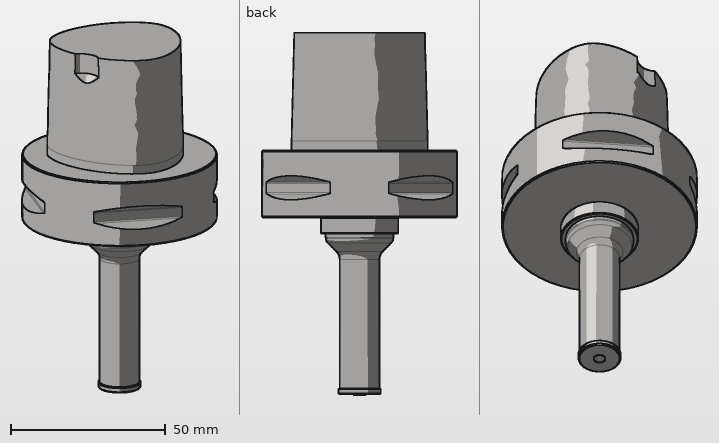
import cadquery as cq
import math

TAPER_WIDTH = 44.0
LOBE_HEIGHT = 1.4
TAPER_LENGTH = 38.0
STRAIGHT_LENGTH = 3.0
TAPER_RATIO = 1 / 20
OUTLINE_POINTS = 48

NOTCH_RADIUS = 6.0
NOTCH_CENTER_Y = -23.5
NOTCH_DEPTH = 6.5

FLANGE_RADIUS = 63.0 / 2
FLANGE_HEIGHT = 21.7
FLANGE_CHAMFER = 0.4

SLOT_COUNT = 4
SLOT_FIRST_ANGLE = 45.0
SLOT_FLOOR_DISTANCE = 27.9
SLOT_FLOOR_HEIGHT = 3.6
SLOT_CENTER_Z = -12.1
SLOT_FLARE_ANGLE = 30.0
SLOT_CORNER_FILLET = 0.5

TOTAL_LENGTH = 117.0
SHOULDER_RADIUS = 25.0 / 2
SHOULDER_HEIGHT = 5.25
SHOULDER_CHAMFER = 0.3
HEAD_RADIUS = 22.0 / 2
HEAD_HEIGHT = 1.1
HEAD_CHAMFER_HEIGHT = 0.35
HEAD_CHAMFER_DEPTH = 0.1
HEAD_ROUND = 2.0
CONE_ANGLE = math.radians(45)
SHANK_RADIUS = 12.95 / 2
SHANK_FILLET = 3.5
COLLAR_RADIUS = 6.85
COLLAR_HEIGHT = 2.0
COLLAR_FLARE_HEIGHT = 0.35
COLLAR_CHAMFER = 0.4
NUB_RADIUS = 3.69 / 2
NUB_HEIGHT = 0.25


def taper_outline(width, z):
    """Closed three-lobed wire of constant width at height z."""
    points = []
    for i in range(OUTLINE_POINTS):
        angle = 2 * math.pi * i / OUTLINE_POINTS
        reach = width / 2 + LOBE_HEIGHT * math.cos(3 * angle)
        slope = -3 * LOBE_HEIGHT * math.sin(3 * angle)
        along = reach * math.cos(angle) - slope * math.sin(angle)
        across = reach * math.sin(angle) + slope * math.cos(angle)
        points.append(cq.Vector(-across, along, z))
    return cq.Wire.assembleEdges([cq.Edge.makeSpline(points, periodic=True)])


def make_taper():
    top_width = TAPER_WIDTH - TAPER_RATIO * (TAPER_LENGTH - STRAIGHT_LENGTH)
    base = taper_outline(TAPER_WIDTH, 0)
    shoulder = taper_outline(TAPER_WIDTH, STRAIGHT_LENGTH)
    top = taper_outline(top_width, TAPER_LENGTH)
    straight = cq.Solid.extrudeLinear(base, [], cq.Vector(0, 0, STRAIGHT_LENGTH))
    tapered = cq.Solid.makeLoft([shoulder, top], True)
    return cq.Workplane(straight).union(cq.Workplane(tapered))


def make_notch():
    shoulder_z = TAPER_LENGTH - NOTCH_DEPTH
    tip_z = shoulder_z - NOTCH_RADIUS
    profile = [(0, tip_z), (NOTCH_RADIUS, shoulder_z), (NOTCH_RADIUS, TAPER_LENGTH), (0, TAPER_LENGTH)]
    hole = cq.Workplane("XZ").polyline(profile).close().revolve(360, (0, 0), (0, 1))
    return hole.translate((0, NOTCH_CENTER_Y, 0))


def make_gripper_slot(angle):
    depth = FLANGE_RADIUS - SLOT_FLOOR_DISTANCE
    half_floor = SLOT_FLOOR_HEIGHT / 2
    half_mouth = half_floor + depth * math.tan(math.radians(SLOT_FLARE_ANGLE))
    profile = [
        (SLOT_FLOOR_DISTANCE, SLOT_CENTER_Z - half_floor),
        (FLANGE_RADIUS, SLOT_CENTER_Z - half_mouth),
        (FLANGE_RADIUS, SLOT_CENTER_Z + half_mouth),
        (SLOT_FLOOR_DISTANCE, SLOT_CENTER_Z + half_floor),
    ]
    slot = cq.Workplane("XZ").polyline(profile).close().extrude(FLANGE_RADIUS, both=True)
    slot = slot.faces("<X").edges("|Y").fillet(SLOT_CORNER_FILLET)
    return slot.rotate((0, 0, 0), (0, 0, 1), angle)


def make_holder():
    flange = cq.Workplane("XY").circle(FLANGE_RADIUS).extrude(-FLANGE_HEIGHT)
    flange = flange.edges().chamfer(FLANGE_CHAMFER)
    for i in range(SLOT_COUNT):
        flange = flange.cut(make_gripper_slot(SLOT_FIRST_ANGLE + 360 * i / SLOT_COUNT))
    taper = make_taper().cut(make_notch())
    return flange.union(taper)


def make_mandrel():
    seat_z = -FLANGE_HEIGHT
    head_z = seat_z - SHOULDER_HEIGHT
    head_chamfer_z = head_z - HEAD_HEIGHT
    tip_z = TAPER_LENGTH - TOTAL_LENGTH
    collar_bottom_z = tip_z + NUB_HEIGHT
    collar_top_z = collar_bottom_z + COLLAR_HEIGHT

    round_r = HEAD_RADIUS - HEAD_CHAMFER_DEPTH
    round_z = head_chamfer_z - HEAD_CHAMFER_HEIGHT
    round_center_r = round_r - HEAD_ROUND
    round_mid = (
        round_center_r + HEAD_ROUND * math.cos(CONE_ANGLE / 2),
        round_z - HEAD_ROUND * math.sin(CONE_ANGLE / 2),
    )
    cone_top = (
        round_center_r + HEAD_ROUND * math.cos(CONE_ANGLE),
        round_z - HEAD_ROUND * math.sin(CONE_ANGLE),
    )

    fillet_center_r = SHANK_RADIUS + SHANK_FILLET
    cone_bottom_r = fillet_center_r - SHANK_FILLET * math.cos(CONE_ANGLE)
    cone_bottom_z = cone_top[1] - (cone_top[0] - cone_bottom_r) / math.tan(CONE_ANGLE)
    fillet_z = cone_bottom_z - SHANK_FILLET * math.sin(CONE_ANGLE)
    fillet_mid = (
        fillet_center_r - SHANK_FILLET * math.cos(CONE_ANGLE / 2),
        fillet_z + SHANK_FILLET * math.sin(CONE_ANGLE / 2),
    )

    profile = (
        cq.Workplane("XZ")
        .moveTo(0, seat_z)
        .lineTo(SHOULDER_RADIUS - SHOULDER_CHAMFER, seat_z)
        .lineTo(SHOULDER_RADIUS, seat_z - SHOULDER_CHAMFER)
        .lineTo(SHOULDER_RADIUS, head_z + SHOULDER_CHAMFER)
        .lineTo(SHOULDER_RADIUS - SHOULDER_CHAMFER, head_z)
        .lineTo(HEAD_RADIUS, head_z)
        .lineTo(HEAD_RADIUS, head_chamfer_z)
        .lineTo(round_r, round_z)
        .threePointArc(round_mid, cone_top)
        .lineTo(cone_bottom_r, cone_bottom_z)
        .threePointArc(fillet_mid, (SHANK_RADIUS, fillet_z))
        .lineTo(SHANK_RADIUS, collar_top_z)
        .lineTo(COLLAR_RADIUS, collar_top_z - COLLAR_FLARE_HEIGHT)
        .lineTo(COLLAR_RADIUS, collar_bottom_z + COLLAR_CHAMFER)
        .lineTo(COLLAR_RADIUS - COLLAR_CHAMFER, collar_bottom_z)
        .lineTo(NUB_RADIUS, collar_bottom_z)
        .lineTo(NUB_RADIUS, tip_z)
        .lineTo(0, tip_z)
        .close()
    )
    return profile.revolve(360, (0, 0), (0, 1))


holder = make_holder()
mandrel = make_mandrel()
result = cq.Compound.makeCompound([holder.val(), mandrel.val()])